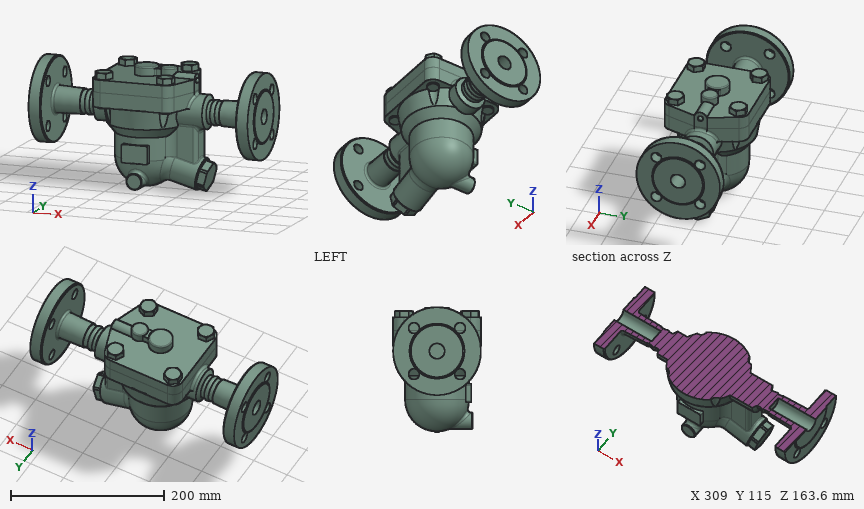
import cadquery as cq
import math


pick_margin = 1.0

inlet_face_x = -144.5
outlet_face_x = 164.5
line_mid_x = (inlet_face_x + outlet_face_x) / 2
half_length = (outlet_face_x - inlet_face_x) / 2
flange_radius = 57.5
flange_thickness = 18.0
flange_back = half_length - flange_thickness
flange_chamfer = 1.5
raised_face_height = 1.0
raised_face_radius = 34.0
raised_face_foot_radius = 36.0
bolt_hole_diameter = 14.0
bolt_circle_diameter = 85.0
flange_bolt_count = 4
first_bolt_angle = 45.0
bore_diameter = 20.0
bore_depth = 60.0
neck_fillet = 3.0
neck_large_radius = 18.2
neck_small_radius = 17.1
neck_small_end = 97.5
pipe_radius = 16.0
bead_outer = 91.0
bead_inner = 84.5
bead_radius = 17.2
hub_radius = 23.0
hub_end = 79.3
hub_chamfer_length = 3.1
hub_root_fillet = 3.6

plate_half_width = 57.5
plate_corner_radius = 14.2
cover_top_z = 44.0
cover_joint_z = 27.5
plate_bottom_z = 7.0
nose_x = 70.0
nose_half_width = 9.0
bolt_offset = plate_half_width - plate_corner_radius

bolt_across_flats = 21.0
bolt_head_height = 8.5
bolt_head_twist = 3.0
bolt_head_offset_turn = 30.0
bolt_head_chamfer = 0.8
bolt_shank_diameter = 16.0
bolt_shank_end_z = 4.4
bolt_clearance_radius = 8.5

cap_top_z = 56.5
cap_fillet = 1.5
main_cap_diameter = 32.0
side_cap_diameter = 22.0
side_cap_x = 31.5
web_width = 14.0
web_top_z = 53.6
web_root_fillet = 2.5
ridge_radius = 9.0
ridge_axis_z = 41.0
tip_radius = 3.5

shell_top_radius = 57.0
shell_bottom_radius = 52.4
shell_bottom_z = -19.4
bowl_top_z = -32.4
bowl_radius = 42.0
bowl_center_z = -63.0

channel_half_width = 16.4
channel_end_x = 76.2
channel_edge_radius = 5.5
channel_root_radius = 16.0
channel_bottom_z = -70.0
channel_hub_fillet = 5.0
channel_port_fillet = 1.5

port_tilt = 15.0
port_radius = 22.0
port_length = 81.0
port_chamfer = 1.0
port_root_radius = 15.0
plug_across_flats = 36.0
plug_corner_diameter = 39.9
plug_end = 92.0

drain_diameter = 22.0
drain_z = -91.0
drain_face_y = -46.5
drain_chamfer = 1.0
drain_root_fillet = 4.0
name_plate_width = 36.5
name_plate_top_z = -42.4
name_plate_bottom_z = -67.0
name_plate_face_y = -45.0
name_plate_depth = 15.0
name_plate_corner_radius = 2.0


def arc_point(center_x, center_y, radius, angle):
    return (center_x + radius * math.cos(angle), center_y + radius * math.sin(angle))


def box(x_range, y_range, z_range):
    """Selector for the features centred within the given ranges."""
    low, high = zip(x_range, y_range, z_range)
    return cq.selectors.BoxSelector(low, high)


def pipe_end():
    """Flange and neck of one end, revolved about X, measured from the middle of the line."""
    neck_large_end = flange_back - neck_fillet
    fillet_rise = neck_fillet * (1 - math.sqrt(0.5))
    profile = (
        cq.Workplane("XY")
        .moveTo(hub_end, 0)
        .lineTo(hub_end, pipe_radius)
        .lineTo(bead_inner, pipe_radius)
        .threePointArc(((bead_inner + bead_outer) / 2, bead_radius), (bead_outer, pipe_radius))
        .lineTo(neck_small_end, pipe_radius)
        .lineTo(neck_small_end, neck_small_radius)
        .lineTo(neck_large_end, neck_large_radius)
        .threePointArc(
            (flange_back - fillet_rise, neck_large_radius + fillet_rise),
            (flange_back, neck_large_radius + neck_fillet),
        )
        .lineTo(flange_back, flange_radius - flange_chamfer)
        .lineTo(flange_back + flange_chamfer, flange_radius)
        .lineTo(half_length - raised_face_height, flange_radius)
        .lineTo(half_length - raised_face_height, raised_face_foot_radius)
        .lineTo(half_length, raised_face_radius)
        .lineTo(half_length, 0)
        .close()
    )
    end = profile.revolve(360, (0, 0, 0), (1, 0, 0))
    bolt_holes = (
        cq.Workplane("YZ", origin=(flange_back, 0, 0))
        .polarArray(bolt_circle_diameter / 2, first_bolt_angle, 360, flange_bolt_count)
        .circle(bolt_hole_diameter / 2)
        .extrude(flange_thickness)
    )
    bore = (
        cq.Workplane("YZ", origin=(half_length - bore_depth, 0, 0))
        .circle(bore_diameter / 2)
        .extrude(bore_depth)
    )
    return end.cut(bolt_holes).cut(bore)


def hub():
    """Thick hub between both pipe ends, coned down to the pipe at each end."""
    chamfer_start = hub_end - hub_chamfer_length
    profile = (
        cq.Workplane("XY")
        .moveTo(-hub_end, 0)
        .lineTo(-hub_end, pipe_radius)
        .lineTo(-chamfer_start, hub_radius)
        .lineTo(chamfer_start, hub_radius)
        .lineTo(hub_end, pipe_radius)
        .lineTo(hub_end, 0)
        .close()
    )
    return profile.revolve(360, (0, 0, 0), (1, 0, 0)).translate((line_mid_x, 0, 0))


def plate(bottom_z, top_z):
    """Plate with rounded corners, tapering to a blunt nose on the outlet side."""
    dx = nose_x - bolt_offset
    dy = nose_half_width - bolt_offset
    normal = math.atan2(dy, dx) + math.acos(plate_corner_radius / math.hypot(dx, dy))
    middle = (normal + math.pi / 2) / 2
    arc_end = arc_point(bolt_offset, bolt_offset, plate_corner_radius, normal)
    arc_middle = arc_point(bolt_offset, bolt_offset, plate_corner_radius, middle)
    half = plate_half_width
    outline = (
        cq.Workplane("XY", origin=(0, 0, bottom_z))
        .moveTo(-half, -half)
        .lineTo(-half, half)
        .lineTo(bolt_offset, half)
        .threePointArc(arc_middle, arc_end)
        .lineTo(nose_x, nose_half_width)
        .lineTo(nose_x, -nose_half_width)
        .lineTo(arc_end[0], -arc_end[1])
        .threePointArc((arc_middle[0], -arc_middle[1]), (bolt_offset, -half))
        .close()
    )
    return outline.extrude(top_z - bottom_z).edges("|Z and <X").fillet(plate_corner_radius)


def shell():
    """Tapered round shell under the plate, funnelling down to the bowl, cleared beside the bolts."""
    profile = (
        cq.Workplane("XZ")
        .moveTo(0, plate_bottom_z)
        .lineTo(shell_top_radius, plate_bottom_z)
        .lineTo(shell_bottom_radius, shell_bottom_z)
        .lineTo(bowl_radius, bowl_top_z)
        .lineTo(0, bowl_top_z)
        .close()
    )
    solid = profile.revolve(360, (0, 0, 0), (0, 1, 0))
    for x, y in bolt_places:
        clearance = cq.Workplane("XY", origin=(x, y, shell_bottom_z)).circle(bolt_clearance_radius)
        solid = solid.cut(clearance.extrude(plate_bottom_z - shell_bottom_z))
    return solid


def bowl():
    """Cylinder closed below by a hemisphere."""
    barrel = (
        cq.Workplane("XY", origin=(0, 0, bowl_center_z))
        .circle(bowl_radius)
        .extrude(bowl_top_z - bowl_center_z)
    )
    ball = cq.Workplane("XY", origin=(0, 0, bowl_center_z)).sphere(bowl_radius)
    return barrel.union(ball)


def bowl_blend(half_width, blend_radius):
    """Arc blending the bowl's circle into a line at half_width: its start, middle and end points."""
    reach = bowl_radius + blend_radius
    center_y = half_width + blend_radius
    center_x = math.sqrt(reach**2 - center_y**2)
    start = (center_x * bowl_radius / reach, center_y * bowl_radius / reach)
    end = (center_x, half_width)
    start_angle = math.atan2(center_y, center_x) + math.pi
    end_angle = 1.5 * math.pi
    middle = arc_point(center_x, center_y, blend_radius, (start_angle + end_angle) / 2)
    return start, middle, end


def channel():
    """Vertical channel from the outlet hub to the plug port, blended into the bowl."""
    touch, blend_middle, blend_end = bowl_blend(channel_half_width, channel_root_radius)
    outline = (
        cq.Workplane("XY", origin=(0, 0, channel_bottom_z))
        .moveTo(0, touch[1])
        .lineTo(*touch)
        .threePointArc(blend_middle, blend_end)
        .lineTo(channel_end_x, channel_half_width)
        .lineTo(channel_end_x, -channel_half_width)
        .lineTo(blend_end[0], -blend_end[1])
        .threePointArc((blend_middle[0], -blend_middle[1]), (touch[0], -touch[1]))
        .lineTo(0, -touch[1])
        .close()
    )
    return outline.extrude(-channel_bottom_z).edges("|Z and >X").fillet(channel_edge_radius)


def hexagon_diameter(across_flats):
    return across_flats / math.cos(math.pi / 6)


def plug_port():
    """Tilted port blended into the bowl's sphere, closed by a hexagon plug with turned corners."""
    touch, blend_middle, blend_end = bowl_blend(port_radius, port_root_radius)
    port = (
        cq.Workplane("XY")
        .moveTo(0, 0)
        .lineTo(*touch)
        .threePointArc(blend_middle, blend_end)
        .lineTo(port_length - port_chamfer, port_radius)
        .lineTo(port_length, port_radius - port_chamfer)
        .lineTo(port_length, 0)
        .close()
        .revolve(360, (0, 0, 0), (1, 0, 0))
    )
    corner_to_corner = hexagon_diameter(plug_across_flats)
    hexagon = (
        cq.Workplane("YZ", origin=(port_length, 0, 0))
        .transformed(rotate=(0, 0, 90))
        .polygon(6, corner_to_corner)
        .extrude(plug_end - port_length)
    )
    turned = (
        cq.Workplane("YZ", origin=(port_length, 0, 0))
        .circle(plug_corner_diameter / 2)
        .extrude(plug_end - port_length)
    )
    port = port.union(hexagon.intersect(turned))
    return port.rotate((0, 0, 0), (0, 1, 0), port_tilt).translate((0, 0, bowl_center_z))


def name_plate():
    height = name_plate_top_z - name_plate_bottom_z
    middle_z = (name_plate_top_z + name_plate_bottom_z) / 2
    return (
        cq.Workplane("XZ", origin=(0, name_plate_face_y, middle_z))
        .rect(name_plate_width, height)
        .extrude(-name_plate_depth)
        .edges("|Y")
        .fillet(name_plate_corner_radius)
    )


def drain_boss():
    return (
        cq.Workplane("XZ", origin=(0, drain_face_y, drain_z))
        .circle(drain_diameter / 2)
        .extrude(drain_face_y)
        .faces("<Y")
        .chamfer(drain_chamfer)
    )


def bolt_head(x, y, turn):
    """Hexagon head with its top corners turned down."""
    corner_to_corner = hexagon_diameter(bolt_across_flats)
    head = (
        cq.Workplane("XY", origin=(x, y, cover_top_z))
        .transformed(rotate=(0, 0, turn))
        .polygon(6, corner_to_corner)
        .extrude(bolt_head_height)
    )
    turned = (
        cq.Workplane("XY", origin=(x, y, cover_top_z))
        .circle(corner_to_corner / 2)
        .extrude(bolt_head_height)
        .faces(">Z")
        .chamfer(bolt_head_chamfer, (corner_to_corner - bolt_across_flats) / 2)
    )
    return head.intersect(turned)


def cap(x, diameter):
    return (
        cq.Workplane("XY", origin=(x, 0, cover_top_z))
        .circle(diameter / 2)
        .extrude(cap_top_z - cover_top_z)
        .faces(">Z")
        .edges()
        .fillet(cap_fillet)
    )


def cover_bosses():
    """Two round caps joined by a web, and a rounded ridge running out to the nose."""
    web = cq.Workplane("XY", origin=(side_cap_x / 2, 0, cover_top_z))
    web = web.rect(side_cap_x, web_width).extrude(web_top_z - cover_top_z)
    ridge = (
        cq.Workplane("YZ", origin=(side_cap_x, 0, ridge_axis_z))
        .circle(ridge_radius)
        .extrude(nose_x - side_cap_x)
    )
    tip = cq.Workplane("XY", origin=(nose_x, 0, ridge_axis_z)).sphere(tip_radius)
    bosses = cap(0, main_cap_diameter).union(cap(side_cap_x, side_cap_diameter))
    bosses = bosses.union(web)
    main_cap_radius = main_cap_diameter / 2
    web_corners = bosses.edges("|Z").edges(
        box((0, main_cap_radius), (-web_width, web_width), (cover_top_z, web_top_z))
    )
    bosses = web_corners.fillet(web_root_fillet)
    return bosses.union(ridge).union(tip)


def flange_with_hubs():
    """Body flange crossed by the hubs, with a fillet where each hub leaves the flange."""
    solid = plate(plate_bottom_z, cover_joint_z).union(hub())
    slant_inner_x = nose_x - hub_radius / 2
    for x_range in (
        (-plate_half_width - pick_margin, -plate_half_width + pick_margin),
        (slant_inner_x, nose_x + pick_margin),
    ):
        y_range = (-hub_radius, hub_radius)
        z_range = (plate_bottom_z + pick_margin, hub_radius + pick_margin)
        solid = solid.edges(box(x_range, y_range, z_range)).fillet(hub_root_fillet)
    return solid


def bowl_with_drain():
    """Bowl with the drain boss filleted into its sphere."""
    solid = bowl().union(drain_boss())
    return solid.edges("%BSPLINE").fillet(drain_root_fillet)


def with_channel(solid):
    """Add the channel and the plug port, filleted where the channel meets hub and port."""
    side = channel().union(plug_port())
    y_range = (-channel_half_width - pick_margin, channel_half_width + pick_margin)
    end_x = channel_end_x + pick_margin
    port_top_z = bowl_center_z + channel_edge_radius
    port_edges = box((bowl_radius + channel_edge_radius, end_x), y_range, (channel_bottom_z, port_top_z))
    side = side.edges(port_edges).fillet(channel_port_fillet)
    solid = solid.union(side)
    hub_edges = box(
        (shell_bottom_radius, end_x),
        y_range,
        (-hub_radius - pick_margin, -hub_radius + hub_radius / 3),
    )
    return solid.edges(hub_edges).fillet(channel_hub_fillet)


bolt_places = [(sx * bolt_offset, sy * bolt_offset) for sx in (-1, 1) for sy in (-1, 1)]

body = bowl_with_drain().union(shell()).union(flange_with_hubs())
body = with_channel(body).union(name_plate())
outlet = pipe_end()
for end in (outlet, outlet.mirror("YZ")):
    body = body.union(end.translate((line_mid_x, 0, 0)))

cover = plate(cover_joint_z, cover_top_z).union(cover_bosses())
for x, y in bolt_places:
    turn = bolt_head_twist if x * y > 0 else bolt_head_twist + bolt_head_offset_turn
    cover = cover.union(bolt_head(x, y, turn))
    shank = cq.Workplane("XY", origin=(x, y, bolt_shank_end_z)).circle(bolt_shank_diameter / 2)
    body = body.union(shank.extrude(cover_joint_z - bolt_shank_end_z))

result = body.union(cover, clean=False)